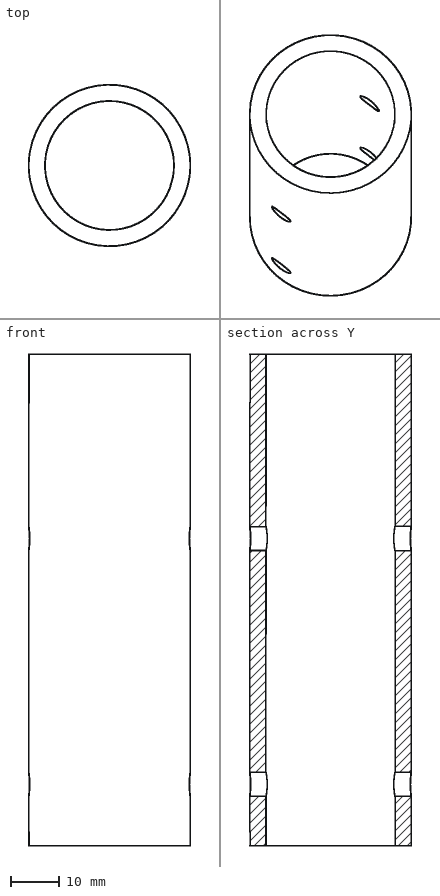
import cadquery as cq

length = 101.6
outer_diameter = 33.4
inner_diameter = 26.6

hole_diameter = 4.9
lower_hole_height = 12.7
hole_spacing = 50.8
hole_heights = [lower_hole_height, lower_hole_height + hole_spacing]


def make_tube():
    return (
        cq.Workplane("XY")
        .circle(outer_diameter / 2)
        .circle(inner_diameter / 2)
        .extrude(length)
    )


def make_cross_hole(height):
    return (
        cq.Workplane("YZ")
        .center(0, height)
        .circle(hole_diameter / 2)
        .extrude(outer_diameter, both=True)
    )


result = make_tube()
for hole_height in hole_heights:
    result = result.cut(make_cross_hole(hole_height))